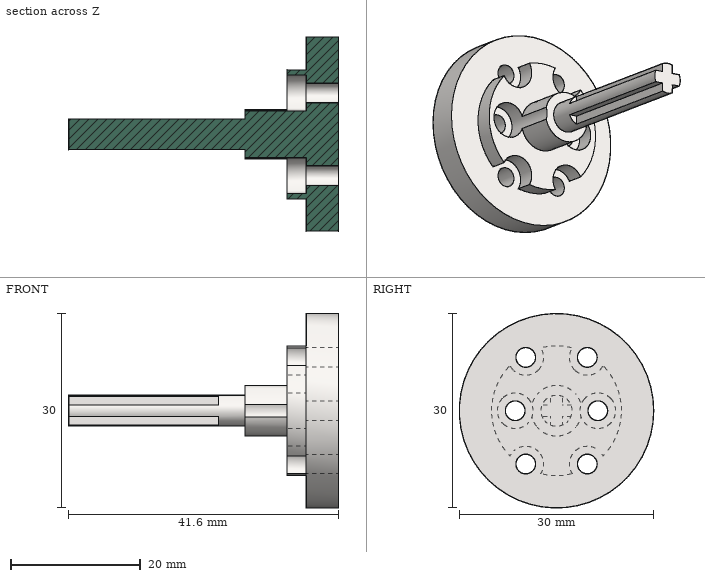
import cadquery as cq
import math

total_length = 41.6
flange_thickness = 5.0
pad_thickness = 3.0
sleeve_length = 6.45
groove_length = 23.15

flange_diameter = 30.0
pad_diameter = 20.0
sleeve_diameter = 7.8
shaft_diameter = 4.8
hole_diameter = 3.0
relief_diameter = 5.5

cross_arm_width = 1.85
side_hole_radius = 6.35
corner_hole_radius = 9.5
corner_hole_angles = (60, 120, 240, 300)

flange_face = total_length - flange_thickness
pad_face = flange_face - pad_thickness
sleeve_face = pad_face - sleeve_length


def disc(diameter, start, end):
    """Cylinder about the X axis between two X positions."""
    return cq.Workplane("YZ", origin=(start, 0, 0)).circle(diameter / 2).extrude(end - start)


def hole_pattern(diameter, start, end):
    """Cylinders at the two side holes and the four corner holes."""
    plane = cq.Workplane("YZ", origin=(start, 0, 0))
    positions = [(side_hole_radius, 0), (-side_hole_radius, 0)]
    for angle in corner_hole_angles:
        y = corner_hole_radius * math.cos(math.radians(angle))
        z = corner_hole_radius * math.sin(math.radians(angle))
        positions.append((y, z))
    return plane.pushPoints(positions).circle(diameter / 2).extrude(end - start)


def corner_grooves():
    """Four square-cornered grooves that leave a cross at the shaft end."""
    centre_offset = (cross_arm_width + shaft_diameter) / 2
    return (
        cq.Workplane("YZ")
        .rect(2 * centre_offset, 2 * centre_offset, forConstruction=True)
        .vertices()
        .rect(shaft_diameter, shaft_diameter)
        .extrude(groove_length)
    )


pad_and_sleeve = disc(pad_diameter, pad_face, flange_face)
pad_and_sleeve = pad_and_sleeve.union(disc(sleeve_diameter, sleeve_face, pad_face))
pad_and_sleeve = pad_and_sleeve.cut(hole_pattern(relief_diameter, sleeve_face, flange_face))

flange = disc(flange_diameter, flange_face, total_length)
flange = flange.cut(hole_pattern(hole_diameter, flange_face, total_length))

shaft = disc(shaft_diameter, 0, sleeve_face).cut(corner_grooves())

result = flange.union(pad_and_sleeve).union(shaft)